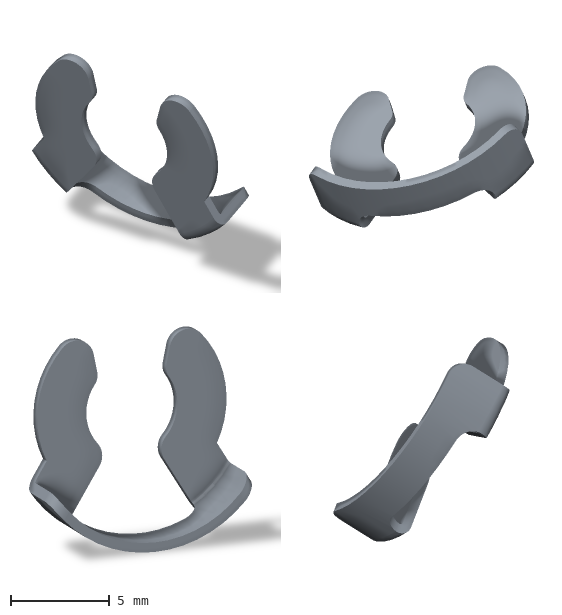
import cadquery as cq
import math


THICKNESS = 0.5
DEPTH = 3.5
BAND_RADIUS = 6.8
BEND_INNER_RADIUS = 0.2
JAW_RADIUS = 5.2
SHAFT_RADIUS = 2.5
TIP_RADIUS = 1.0
TIP_HEIGHT = 3.86
UPPER_LOBE_RADIUS = 0.8
UPPER_LOBE_GAP = 3.76
LOWER_LOBE_RADIUS = 1.0
LEG_WIDTH = 2.75
LEG_ANGLE = 58.0
WINDOW_DEPTH = 1.5
WINDOW_CORNER_RADIUS = 1.0
REAR_CORNER_RADIUS = 1.0

BEND_OUTER_RADIUS = BEND_INNER_RADIUS + THICKNESS
BAND_INNER_RADIUS = BAND_RADIUS - THICKNESS
BEND_START_RADIUS = BAND_RADIUS - BEND_OUTER_RADIUS
DIAGONAL = math.sqrt(0.5)

SLOPE = math.radians(LEG_ANGLE)
ALONG = (-math.cos(SLOPE), -math.sin(SLOPE))
ACROSS = (math.sin(SLOPE), -math.cos(SLOPE))


def leg_point(along, across):
    """Point (x, z) at the given distances along and across the left leg."""
    return (
        along * ALONG[0] + across * ACROSS[0],
        along * ALONG[1] + across * ACROSS[1],
    )


def scaled(point, length):
    """Point in the same direction from the shaft axis, at the given distance."""
    factor = length / math.hypot(*point)
    return (point[0] * factor, point[1] * factor)


def polar(center, radius, angle):
    """Point on a circle at an angle in radians."""
    return (center[0] + radius * math.cos(angle), center[1] + radius * math.sin(angle))


def leg_edge_point(radius, across):
    """Point where a line parallel to the leg meets a circle about the shaft axis."""
    return leg_point(math.sqrt(radius**2 - across**2), across)


def left_jaw():
    """Flat jaw and leg, up to the start of the bend."""
    tip_z = TIP_HEIGHT - TIP_RADIUS
    tip = (-math.sqrt((JAW_RADIUS - TIP_RADIUS) ** 2 - tip_z**2), tip_z)

    upper_x = -UPPER_LOBE_GAP / 2 - UPPER_LOBE_RADIUS
    upper_z = math.sqrt((SHAFT_RADIUS + UPPER_LOBE_RADIUS) ** 2 - upper_x**2)
    upper = (upper_x, upper_z)

    lower_reach = math.sqrt((SHAFT_RADIUS + LOWER_LOBE_RADIUS) ** 2 - LOWER_LOBE_RADIUS**2)
    lower = leg_point(lower_reach, -LOWER_LOBE_RADIUS)
    lower_end = leg_point(lower_reach, 0)

    gap = (upper[0] - tip[0], upper[1] - tip[1])
    tangent_angle = math.atan2(gap[1], gap[0]) + math.acos(
        (TIP_RADIUS - UPPER_LOBE_RADIUS) / math.hypot(*gap)
    )
    upper_notch_angle = math.atan2(-upper[1], -upper[0])
    lower_notch_angle = math.atan2(-lower[1], -lower[0])
    lower_end_angle = math.atan2(ACROSS[1], ACROSS[0])

    outline = (
        cq.Workplane("XZ")
        .moveTo(*leg_edge_point(JAW_RADIUS, -LEG_WIDTH))
        .threePointArc((-JAW_RADIUS, 0), scaled(tip, JAW_RADIUS))
        .threePointArc((tip[0], TIP_HEIGHT), polar(tip, TIP_RADIUS, tangent_angle))
        .lineTo(*polar(upper, UPPER_LOBE_RADIUS, tangent_angle))
        .threePointArc(
            polar(upper, UPPER_LOBE_RADIUS, (tangent_angle + upper_notch_angle) / 2),
            scaled(upper, SHAFT_RADIUS),
        )
        .threePointArc((-SHAFT_RADIUS, 0), scaled(lower, SHAFT_RADIUS))
        .threePointArc(
            polar(lower, LOWER_LOBE_RADIUS, (lower_notch_angle + lower_end_angle) / 2),
            lower_end,
        )
        .lineTo(*leg_edge_point(BEND_START_RADIUS, 0))
        .threePointArc(
            leg_edge_point(BEND_START_RADIUS, -LEG_WIDTH / 2),
            leg_edge_point(BEND_START_RADIUS, -LEG_WIDTH),
        )
        .close()
    )
    return outline.extrude(-THICKNESS)


def bent_rim():
    """Full ring with the section of the bend and the band."""
    bend_outer_mid = (
        BEND_START_RADIUS + BEND_OUTER_RADIUS * DIAGONAL,
        BEND_OUTER_RADIUS * (1 - DIAGONAL),
    )
    bend_inner_mid = (
        BEND_START_RADIUS + BEND_INNER_RADIUS * DIAGONAL,
        BEND_OUTER_RADIUS - BEND_INNER_RADIUS * DIAGONAL,
    )
    return (
        cq.Workplane("XY")
        .moveTo(BEND_START_RADIUS, 0)
        .threePointArc(bend_outer_mid, (BAND_RADIUS, BEND_OUTER_RADIUS))
        .lineTo(BAND_RADIUS, DEPTH)
        .lineTo(BAND_INNER_RADIUS, DEPTH)
        .lineTo(BAND_INNER_RADIUS, BEND_OUTER_RADIUS)
        .threePointArc(bend_inner_mid, (BEND_START_RADIUS, THICKNESS))
        .close()
        .revolve(360, (0, 0, 0), (0, 1, 0))
    )


def left_band():
    """Left half of the bend and band, trimmed parallel to the leg."""
    window_corner_y = WINDOW_DEPTH - WINDOW_CORNER_RADIUS
    rear_corner_y = DEPTH - REAR_CORNER_RADIUS
    rear_corner_x = REAR_CORNER_RADIUS - LEG_WIDTH
    across_leg = cq.Plane(
        origin=(0, 0, 0),
        xDir=(ACROSS[0], 0, ACROSS[1]),
        normal=(-ALONG[0], 0, -ALONG[1]),
    )
    trim = (
        cq.Workplane(across_leg)
        .moveTo(-LEG_WIDTH, 0)
        .lineTo(0, 0)
        .lineTo(0, window_corner_y)
        .threePointArc(
            (
                WINDOW_CORNER_RADIUS * (1 - DIAGONAL),
                window_corner_y + WINDOW_CORNER_RADIUS * DIAGONAL,
            ),
            (WINDOW_CORNER_RADIUS, WINDOW_DEPTH),
        )
        .lineTo(BAND_RADIUS, WINDOW_DEPTH)
        .lineTo(BAND_RADIUS, DEPTH)
        .lineTo(rear_corner_x, DEPTH)
        .threePointArc(
            (
                rear_corner_x - REAR_CORNER_RADIUS * DIAGONAL,
                rear_corner_y + REAR_CORNER_RADIUS * DIAGONAL,
            ),
            (-LEG_WIDTH, rear_corner_y),
        )
        .close()
        .extrude(-BAND_RADIUS)
    )
    left_side = cq.Workplane("XY").box(
        BAND_RADIUS, DEPTH, 2 * BAND_RADIUS, centered=(False, False, True)
    ).translate((-BAND_RADIUS, 0, 0))
    return bent_rim().intersect(trim).intersect(left_side)


left_half = left_jaw().union(left_band())
result = left_half.union(left_half.mirror("YZ")).clean()